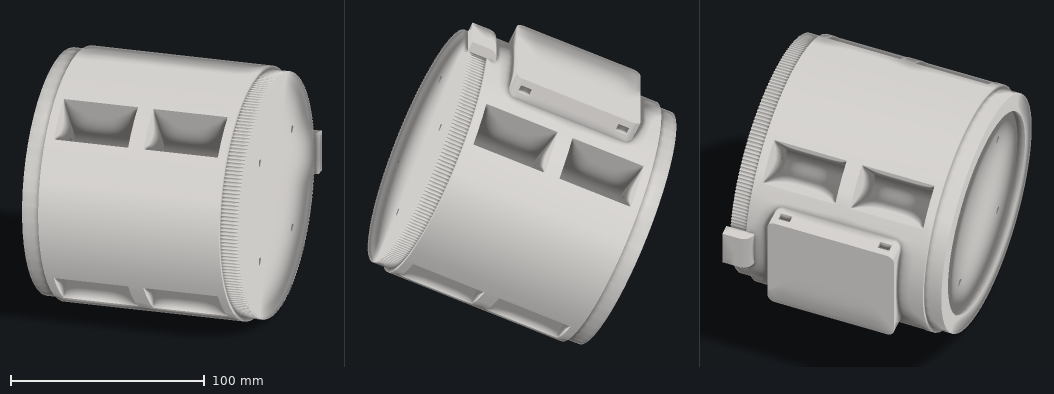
import cadquery as cq
import math

drum_radius = 133.0 / 2
rim_radius = 129.0 / 2
rim_length = 9.4
drum_length = 98.1
drum_start = rim_length
drum_end = drum_start + drum_length
housing_length = drum_end + rim_length

recess_radius = 110.0 / 2
recess_depth = 4.3

rib_count = 200
flute_angle = 180 / rib_count
flute_ratio = math.sin(math.radians(flute_angle / 2))
flute_base_radius = rim_radius / (1 + flute_ratio)
flute_radius = flute_base_radius * flute_ratio

pocket_angles = (45, 135, 225, 315)
pocket_length = 40.3
pocket_gap = 8.3
pocket_half_angle = 10.1
pocket_floor_radius = 6.5
pocket_overcut = 1.4
pocket_starts = (
    drum_start + (drum_length - pocket_gap) / 2 - pocket_length,
    drum_start + (drum_length + pocket_gap) / 2,
)

hole_radius = 4.1 / 2
hole_circle_radius = 38.1

overall_width = 138.2
top_y = overall_width - drum_radius
box_start = 23.5
box_length = 69.9
box_height = 60.0
box_edge_radius = 4.1
box_base_y = 55.3

notch_length = 6.6
notch_width = 4.1
notch_inset = 3.7
notch_depth = 4.1

latch_length = 15.5
latch_height = 21.8
latch_thickness = 5.8
latch_end = 118.4


def cylinder(start, length, radius, y=0, z=0):
    """Cylinder along X from the given start."""
    return cq.Workplane("YZ", origin=(start, y, z)).circle(radius).extrude(length)


def block(x_range, y_range, z_range):
    """Box spanning the given (low, high) ranges."""
    sizes = [high - low for low, high in (x_range, y_range, z_range)]
    corner = (x_range[0], y_range[0], z_range[0])
    return cq.Workplane("XY").box(*sizes, centered=False).translate(corner)


def polar(radius, angle):
    """(Y, Z) point at a radius and an angle in degrees."""
    turn = math.radians(angle)
    return radius * math.cos(turn), radius * math.sin(turn)


def fluted_rim():
    first_angle = -flute_angle / 2
    crest_radius = flute_base_radius + flute_radius
    valley_radius = flute_base_radius - flute_radius
    rim = cq.Workplane("YZ", origin=(drum_end, 0, 0))
    rim = rim.moveTo(*polar(flute_base_radius, first_angle))
    for flute in range(2 * rib_count):
        start_angle = first_angle + flute * flute_angle
        middle_radius = crest_radius if flute % 2 == 0 else valley_radius
        rim = rim.threePointArc(
            polar(middle_radius, start_angle + flute_angle / 2),
            polar(flute_base_radius, start_angle + flute_angle),
        )
    return rim.close().extrude(rim_length)


def pocket(start, angle):
    """Wedge whose side walls run tangent into a round floor."""
    half_turn = math.radians(pocket_half_angle)
    floor_centre = pocket_floor_radius / math.sin(half_turn)
    tangent_radius = floor_centre * math.cos(half_turn)
    outer_radius = drum_radius + pocket_overcut
    profile = (
        cq.Workplane("YZ", origin=(start, 0, 0))
        .moveTo(*polar(outer_radius, -pocket_half_angle))
        .lineTo(*polar(tangent_radius, -pocket_half_angle))
        .threePointArc(
            (floor_centre - pocket_floor_radius, 0),
            polar(tangent_radius, pocket_half_angle),
        )
        .lineTo(*polar(outer_radius, pocket_half_angle))
        .close()
    )
    return profile.extrude(pocket_length).rotate((0, 0, 0), (1, 0, 0), angle)


def side_box():
    half_height = box_height / 2
    box_end = box_start + box_length
    box = block((box_start, box_end), (box_base_y, top_y), (-half_height, half_height))
    box = box.edges("|Y").fillet(box_edge_radius)

    notch_top = top_y - notch_inset
    notch_y = (notch_top - notch_width, notch_top)
    first_x = box_start + box_edge_radius
    last_x = box_end - box_edge_radius - notch_length
    for x in (first_x, last_x):
        for z in (half_height - notch_depth, -half_height):
            box = box.cut(block((x, x + notch_length), notch_y, (z, z + notch_depth)))
    return box


def latch():
    """Flat tab with a quarter-round outer edge at its rear end."""
    round_x = latch_end - latch_length + latch_thickness
    round_y = top_y - latch_thickness
    slope = latch_thickness * math.sqrt(0.5)
    profile = (
        cq.Workplane("XY", origin=(0, 0, -latch_height / 2))
        .moveTo(latch_end - latch_length, round_y)
        .threePointArc((round_x - slope, round_y + slope), (round_x, top_y))
        .lineTo(latch_end, top_y)
        .lineTo(latch_end, round_y)
        .close()
    )
    return profile.extrude(latch_height)


housing = cylinder(0, rim_length, rim_radius)
housing = housing.union(cylinder(drum_start, drum_length, drum_radius))
housing = housing.union(fluted_rim())
housing = housing.union(side_box()).union(latch())
housing = housing.cut(cylinder(0, recess_depth, recess_radius))

first_pocket, last_pocket = pocket_starts
for angle in pocket_angles:
    hole_y, hole_z = polar(hole_circle_radius, angle)
    housing = housing.cut(cylinder(0, first_pocket, hole_radius, hole_y, hole_z))
    housing = housing.cut(
        cylinder(last_pocket, housing_length - last_pocket, hole_radius, hole_y, hole_z)
    )
    for start in pocket_starts:
        housing = housing.cut(pocket(start, angle))

result = housing